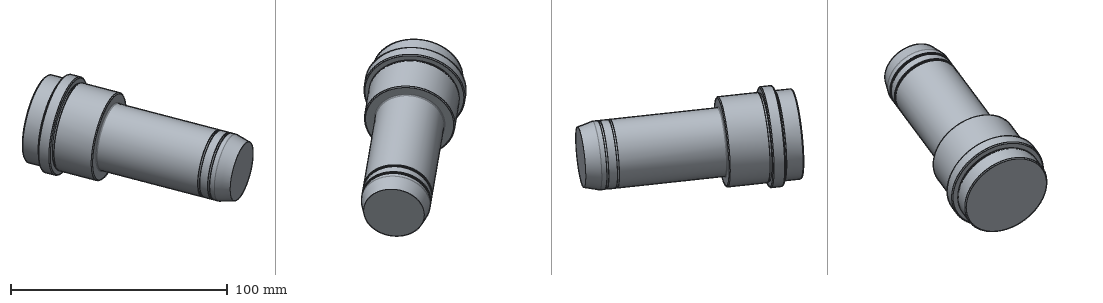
import cadquery as cq
import math

total_length = 101.0
head_diameter = 42.0
head_length = 35.0
collar_diameter = 47.0
collar_start = 9.0
collar_width = 6.0
edge_chamfer = 0.5
shaft_diameter = 32.0
shaft_root_fillet = 0.4

relief_width = 0.9
relief_depth = 0.5

ring_groove_starts = (85.5, 90.5)
ring_groove_width = 0.9
ring_groove_depth = 0.4

lead_length = 7.2
lead_angle = 15.0
tip_diameter = shaft_diameter - 2 * lead_length * math.tan(math.radians(lead_angle))


def cylinder(diameter, start, length):
    """Solid cylinder along X."""
    return cq.Workplane("YZ", origin=(start, 0, 0)).circle(diameter / 2).extrude(length)


def groove_cutter(outer_diameter, depth, start, width):
    """Ring that cuts a groove of the given depth into a cylinder."""
    core_diameter = outer_diameter - 2 * depth
    return (
        cq.Workplane("YZ", origin=(start, 0, 0))
        .circle(outer_diameter / 2)
        .circle(core_diameter / 2)
        .extrude(width)
    )


def make_head():
    """Chamfered head with a relief groove on each side of its collar."""
    head = cylinder(head_diameter, 0, head_length).edges().chamfer(edge_chamfer)
    for start in (collar_start - relief_width, collar_start + collar_width):
        head = head.cut(groove_cutter(head_diameter, relief_depth, start, relief_width))
    collar = cylinder(collar_diameter, collar_start, collar_width).edges().chamfer(edge_chamfer)
    return head.union(collar)


def make_shaft():
    """Shaft with a rounded root, two ring grooves and a conical lead-in."""
    shaft_radius = shaft_diameter / 2
    lead_start = total_length - lead_length
    fillet_middle = shaft_root_fillet * (1 - math.sqrt(0.5))
    shaft = (
        cq.Workplane("XY")
        .moveTo(head_length, 0)
        .lineTo(head_length, shaft_radius + shaft_root_fillet)
        .threePointArc(
            (head_length + fillet_middle, shaft_radius + fillet_middle),
            (head_length + shaft_root_fillet, shaft_radius),
        )
        .lineTo(lead_start, shaft_radius)
        .lineTo(total_length, tip_diameter / 2)
        .lineTo(total_length, 0)
        .close()
        .revolve(360, (0, 0, 0), (1, 0, 0))
    )
    for start in ring_groove_starts:
        shaft = shaft.cut(groove_cutter(shaft_diameter, ring_groove_depth, start, ring_groove_width))
    return shaft


result = make_head().union(make_shaft())